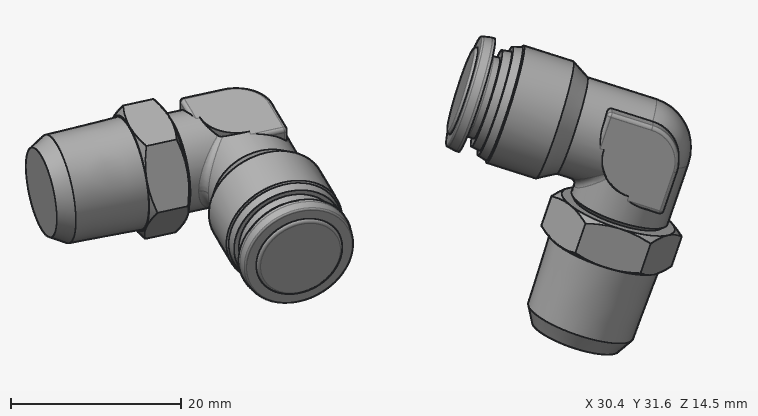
import cadquery as cq
import math


body_radius = 5.98
crease_radius = 0.9
body_end = 8.32
body_end_chamfer = 0.47

collar_diameter = 14.5
collar_radius = collar_diameter / 2
collar_cone_start = 8.47
collar_start = 10.65
collar_end = 16.75
collar_edge = 0.15
step_radius = 7.02
step_end = 18.0
step_end_radius = 6.75
ring_radius = 6.15
ring_end = 19.07
ring_end_radius = 5.98

neck_radius = 5.0
neck_fillet = 0.4
flange_start = 20.3
neck_end = flange_start - neck_fillet
flange_radius = 7.02
flange_rim_end = 20.7
flange_taper_end = 21.7
flange_taper_radius = 6.83
flange_round = 0.22
flange_end = flange_taper_end + flange_round
socket_end = 22.3
lip_round = socket_end - flange_end

hex_flats = 14.0
hex_corner_radius = hex_flats / math.sqrt(3)
hex_width = 5.05
hex_end = body_end + hex_width
hex_twist = 1.5
hex_face_radius = hex_flats / 2
hex_chamfer_angle = math.radians(30)
hex_chamfer = (hex_corner_radius - hex_face_radius) * math.tan(hex_chamfer_angle)

thread_radius = 6.8
thread_tip_radius = 6.55
thread_end = 22.4
overall_length = 31.62
stem_end = overall_length - collar_radius
stem_end_radius = 5.4

pad_radius = 4.52
pad_length = 5.5
pad_fillet = 0.47


def elbow_body():
    arm = cq.Workplane("YZ").circle(body_radius).extrude(body_end)
    leg = cq.Workplane("XZ").circle(body_radius).extrude(body_end)
    corner = cq.Workplane("XY").sphere(body_radius)
    elbow = arm.union(leg)
    crease = cq.selectors.BoxSelector(
        (body_radius / 2, -body_radius / 2, -body_radius),
        (body_end, -body_end, body_radius),
    )
    elbow = elbow.edges(crease).fillet(crease_radius)
    return elbow.union(corner).faces("<Y").edges().chamfer(body_end_chamfer)


def tube_socket():
    diagonal = math.sqrt(0.5)
    round_mid = flange_round * diagonal
    lip_mid = lip_round * diagonal
    neck_mid = neck_fillet * diagonal
    flange_face_radius = flange_taper_radius - flange_round
    profile = (
        cq.Workplane("XY")
        .moveTo(0, 0)
        .lineTo(0, body_radius)
        .lineTo(collar_cone_start, body_radius)
        .lineTo(collar_start, collar_radius)
        .lineTo(collar_end, collar_radius)
        .lineTo(collar_end + collar_edge, step_radius)
        .lineTo(step_end, step_end_radius)
        .lineTo(step_end, ring_radius)
        .lineTo(ring_end, ring_end_radius)
        .lineTo(ring_end, neck_radius)
        .lineTo(neck_end, neck_radius)
        .threePointArc(
            (neck_end + neck_mid, neck_radius + neck_fillet - neck_mid),
            (flange_start, neck_radius + neck_fillet),
        )
        .lineTo(flange_start, flange_radius)
        .lineTo(flange_rim_end, flange_radius)
        .lineTo(flange_taper_end, flange_taper_radius)
        .threePointArc(
            (flange_taper_end + round_mid, flange_face_radius + round_mid),
            (flange_end, flange_face_radius),
        )
        .lineTo(flange_end, neck_radius + lip_round)
        .threePointArc((flange_end + lip_mid, neck_radius + lip_mid), (socket_end, neck_radius))
        .lineTo(socket_end, 0)
    )
    return profile.close().revolve(360, (0, 0, 0), (1, 0, 0))


def hexagon():
    prism = (
        cq.Workplane("XZ", origin=(0, -body_end, 0))
        .polygon(6, 2 * hex_corner_radius)
        .extrude(hex_width)
        .rotate((0, 0, 0), (0, 1, 0), hex_twist)
    )
    chamfered_disc = (
        cq.Workplane("XZ", origin=(0, -body_end, 0))
        .circle(hex_corner_radius)
        .extrude(hex_width)
        .edges()
        .chamfer(hex_chamfer, hex_corner_radius - hex_face_radius)
    )
    return prism.intersect(chamfered_disc)


def thread_stem():
    return (
        cq.Workplane("XY")
        .moveTo(0, -hex_end)
        .lineTo(thread_radius, -hex_end)
        .lineTo(thread_tip_radius, -thread_end)
        .lineTo(stem_end_radius, -stem_end)
        .lineTo(0, -stem_end)
        .close()
        .revolve(360, (0, 0, 0), (0, 1, 0))
    )


def pads():
    """Pads flush with the top and bottom of the body, rounded on their outer edges."""
    arc_mid = pad_radius * math.sqrt(0.5)
    block = (
        cq.Workplane("XY")
        .moveTo(-pad_radius, 0)
        .threePointArc((-arc_mid, arc_mid), (0, pad_radius))
        .lineTo(pad_length, pad_radius)
        .lineTo(pad_length, -pad_length)
        .lineTo(-pad_radius, -pad_length)
        .close()
        .extrude(body_radius, both=True)
    )
    for corner in [(pad_length, pad_radius, 0), (-pad_radius, -pad_length, 0)]:
        block = block.edges(cq.selectors.NearestToPointSelector(corner)).fillet(pad_fillet)
    block = block.faces("|Z").edges().fillet(pad_fillet)

    inside_quarter = (
        cq.Workplane("XY")
        .rect(pad_length, -pad_length, centered=False)
        .extrude(body_radius, both=True)
    )
    disc = cq.Workplane("XY").circle(pad_radius).extrude(body_radius, both=True)
    return block.cut(inside_quarter).union(disc.intersect(inside_quarter))


result = (
    elbow_body()
    .union(tube_socket())
    .union(hexagon())
    .union(thread_stem())
    .union(pads())
)